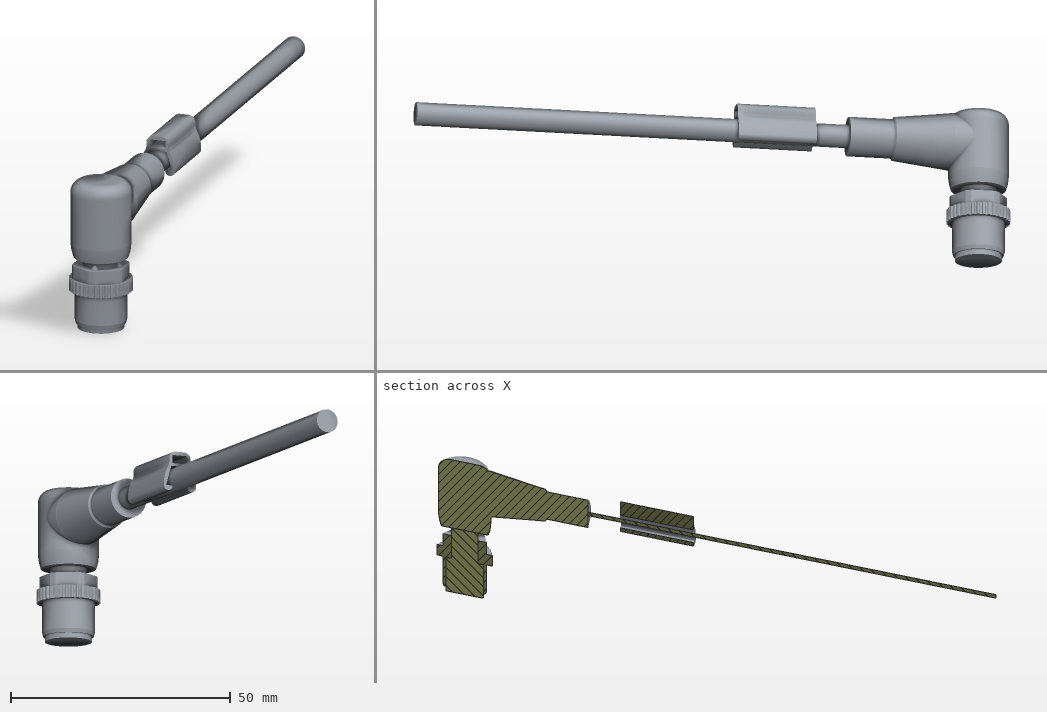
import cadquery as cq
import math


nut_bottom = 1.2
thread_start = 2.1
knurl_bottom = 9.0
knurl_top = 11.9
nut_top = 15.0
head_bottom = 16.9
head_full = 20.2
head_top = 35.0
cable_height = 27.95

head_radius = 6.95
head_foot_radius = 6.3
head_top_fillet = 2.8
boot_rim_radius = 6.6
boot_rim_start = 6.6
boot_cone_start = 7.05
boot_cone_radius = 6.5
boot_cone_end = 19.7
boot_cone_tip_radius = 5.0
grip_radius = 4.5
grip_start = 20.1
grip_end = 30.2

cable_radius = 2.65
cable_end = 129.96

thread_radius = 6.0
thread_tip_radius = 5.75
hex_across_flats = 12.0
hex_corner_radius = 6.55
knurl_radius = 7.3
knurl_depth = 0.35
knurl_teeth = 36
tooth_root_share = 0.35
tooth_land_share = 0.35

carrier_radius = 5.35
neck_radius = 4.2
carrier_shoulder = knurl_bottom
detent_radius = 0.95
detent_tip_radius = 0.25
detent_height = 0.85
detent_count = 4

sleeve_start = 38.0
sleeve_length = 18.0
rail_top = 6.05
rail_flat_half = 1.05
rail_round = 1.65
rail_bottom = 3.5
shoulder_height = 2.7
shoulder_half = 2.9
clip_half_width = 4.1
clip_bulge_height = -1.45
clip_arm_height = -1.9
clip_opening_half = 1.86
channel_half_width = 1.9
channel_bottom = 3.3
channel_top = 5.2
clip_wall = 0.7


def make_head():
    """Upright round head with a rounded top and a foot that curves inwards."""
    foot_height = head_full - head_bottom
    foot_inset = head_radius - head_foot_radius
    foot_curve = (foot_height**2 + foot_inset**2) / (2 * foot_inset)
    half_angle = math.asin(foot_height / foot_curve) / 2
    foot_middle = (
        head_radius - foot_curve * (1 - math.cos(half_angle)),
        head_full - foot_curve * math.sin(half_angle),
    )
    diagonal = head_top_fillet * math.sqrt(0.5)
    top_middle = (
        head_radius - head_top_fillet + diagonal,
        head_top - head_top_fillet + diagonal,
    )
    return (
        cq.Workplane("XZ")
        .moveTo(0, head_bottom)
        .lineTo(head_foot_radius, head_bottom)
        .threePointArc(foot_middle, (head_radius, head_full))
        .lineTo(head_radius, head_top - head_top_fillet)
        .threePointArc(top_middle, (head_radius - head_top_fillet, head_top))
        .lineTo(0, head_top)
        .close()
        .revolve(360, (0, 0, 0), (0, 1, 0))
    )


def make_boot():
    """Tapered cable boot, from the plug axis out to the end of the grip."""
    return (
        cq.Workplane("XY")
        .polyline([
            (0, 0),
            (boot_rim_radius, 0),
            (boot_rim_radius, boot_rim_start),
            (boot_cone_radius, boot_cone_start),
            (boot_cone_tip_radius, boot_cone_end),
            (grip_radius, grip_start),
            (grip_radius, grip_end),
            (0, grip_end),
        ])
        .close()
        .revolve(360, (0, 0, 0), (0, 1, 0))
        .translate((0, 0, cable_height))
    )


def make_housing():
    return make_head().union(make_boot())


def along_cable(start):
    """Workplane across the cable at distance start; extrusions from it run along +Y."""
    return cq.Workplane(cq.Plane((0, start, cable_height), (-1, 0, 0), (0, 1, 0)))


def make_cable():
    return along_cable(grip_end).circle(cable_radius).extrude(cable_end - grip_end)


def make_sleeve():
    """C-shaped clip around the cable, open below, with a hollow label rail on top."""
    rail_side = rail_flat_half + rail_round
    rail_diagonal = rail_round * math.sqrt(0.5)
    rail_round_height = rail_top - rail_round
    side_height = shoulder_height - clip_bulge_height
    side_inset = clip_half_width - shoulder_half
    side_curve = (side_height**2 + side_inset**2) / (2 * side_inset)
    half_angle = math.asin(side_height / side_curve) / 2
    side_middle = (
        clip_half_width - side_curve * (1 - math.cos(half_angle)),
        clip_bulge_height + side_curve * math.sin(half_angle),
    )
    tip_radius = (clip_half_width - clip_opening_half) / 2
    tip_bottom = (clip_half_width - tip_radius, clip_arm_height - tip_radius)

    half_profile = (
        along_cable(sleeve_start)
        .moveTo(0, rail_top)
        .lineTo(rail_flat_half, rail_top)
        .threePointArc(
            (rail_flat_half + rail_diagonal, rail_round_height + rail_diagonal),
            (rail_side, rail_round_height),
        )
        .lineTo(rail_side, rail_bottom)
        .lineTo(shoulder_half, shoulder_height)
        .threePointArc(side_middle, (clip_half_width, clip_bulge_height))
        .lineTo(clip_half_width, clip_arm_height)
        .threePointArc(tip_bottom, (clip_opening_half, clip_arm_height))
        .lineTo(clip_opening_half, cable_radius)
        .lineTo(0, cable_radius)
        .close()
        .extrude(sleeve_length)
    )
    cavity = (
        along_cable(sleeve_start)
        .polyline([
            (shoulder_half - clip_wall, cable_radius),
            (clip_half_width - clip_wall, clip_bulge_height),
            (clip_half_width - clip_wall, clip_arm_height),
            (clip_wall - clip_half_width, clip_arm_height),
            (clip_wall - clip_half_width, clip_bulge_height),
            (clip_wall - shoulder_half, cable_radius),
        ])
        .close()
        .extrude(sleeve_length)
    )
    channel = (
        along_cable(sleeve_start)
        .center(0, (channel_bottom + channel_top) / 2)
        .rect(2 * channel_half_width, channel_top - channel_bottom)
        .extrude(sleeve_length)
    )
    return half_profile.union(half_profile.mirror("YZ")).cut(cavity).cut(channel)


def detent_cone(location):
    """Blunt upright cone at the given location."""
    return cq.Solid.makeCone(detent_radius, detent_tip_radius, detent_height).moved(location)


def make_carrier():
    """Contact carrier with a wide end, a neck up to the housing and detent bumps."""
    carrier = (
        cq.Workplane("XY")
        .circle(carrier_radius)
        .extrude(carrier_shoulder)
        .faces(">Z")
        .workplane()
        .circle(neck_radius)
        .extrude(head_bottom - carrier_shoulder)
    )
    detents = (
        cq.Workplane("XY", origin=(0, 0, nut_top))
        .polarArray(neck_radius, 0, 360, detent_count)
        .eachpoint(detent_cone, True)
    )
    return carrier.union(detents)


def make_knurl():
    """Ring of flat-topped teeth with sloping sides; a tooth points along each of X and Y."""
    points = []
    pitch = 2 * math.pi / knurl_teeth
    root_radius = knurl_radius - knurl_depth
    half_land = pitch * tooth_land_share / 2
    tip_radius = knurl_radius / math.cos(half_land)
    half_root = pitch * tooth_root_share / 2
    for tooth in range(knurl_teeth):
        crest = tooth * pitch
        root = crest + pitch / 2
        corners = [
            (tip_radius, crest - half_land),
            (tip_radius, crest + half_land),
            (root_radius, root - half_root),
            (root_radius, root + half_root),
        ]
        points += [(radius * math.cos(angle), radius * math.sin(angle)) for radius, angle in corners]
    return (
        cq.Workplane("XY", origin=(0, 0, knurl_bottom))
        .polyline(points)
        .close()
        .extrude(knurl_top - knurl_bottom)
    )


def make_nut():
    """Coupling nut: threaded end, knurled ring and a hexagon with rounded corners."""
    thread = (
        cq.Workplane("XZ")
        .polyline([
            (0, nut_bottom),
            (thread_tip_radius, nut_bottom),
            (thread_radius, thread_start),
            (thread_radius, knurl_bottom),
            (0, knurl_bottom),
        ])
        .close()
        .revolve(360, (0, 0, 0), (0, 1, 0))
    )
    hex_height = nut_top - knurl_top
    hex_base = cq.Workplane("XY", origin=(0, 0, knurl_top))
    corner_limit = hex_base.circle(hex_corner_radius).extrude(hex_height)
    hexagon = (
        hex_base
        .polygon(6, hex_across_flats, circumscribed=True)
        .extrude(hex_height)
        .intersect(corner_limit)
    )
    wide_bore = cq.Workplane("XY").circle(carrier_radius).extrude(carrier_shoulder)
    neck_bore = cq.Workplane("XY").circle(neck_radius).extrude(nut_top)
    return thread.union(make_knurl()).union(hexagon).cut(wide_bore).cut(neck_bore)


housing = make_housing()
cable = make_cable()
sleeve = make_sleeve()
carrier = make_carrier()
nut = make_nut()

result = cq.Compound.makeCompound([
    housing.val(),
    cable.val(),
    sleeve.val(),
    carrier.val(),
    nut.val(),
])